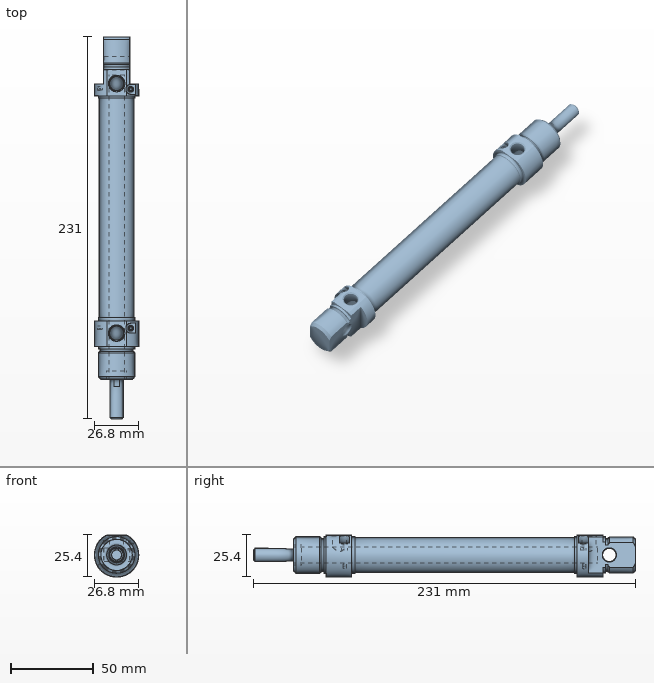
import cadquery as cq


total_length = 231.0
nose_front = 24.0
front_collar_front = 42.5
front_flange_front = 44.0
front_flange_back = 59.4
barrel_front = 61.5
barrel_back = 194.0
rear_flange_front = 195.5
rear_shoulder = 202.5
rear_flange_back = 211.4
rear_collar_back = 212.8

flange_radius = 26.8 / 2
nose_radius = 22.2 / 2
collar_radius = nose_radius
tail_radius = 22.0 / 2
end_chamfer = 1.6
relief_radius = 10.0
relief_length = 1.6
relief_chamfer_length = 1.0
relief_chamfer_depth = 0.7
port_pad_height = 12.0
tongue_thickness = 16.0
eye_diameter = 8.0
eye_mouth_diameter = 8.5
eye_y = 215.0

barrel_radius = 21.3 / 2

port_diameter = 8.5
port_mouth_diameter = 10.0
front_port_y = 52.0
rear_port_y = 202.8
screw_x = 8.5
screw_floor = 7.2
screw_slot_width = 6.0
screw_diameter = 3.5
screw_length = 4.2
screw_top_chamfer = 0.5
socket_diameter = 1.75
socket_depth = 1.2
front_screw_y = 55.0
rear_screw_y = 199.4

vent_diameter = 2.2
vent_depth = 2.3
vent_angle = 34.0
front_vent_y = 55.2
rear_vent_y = 199.8

rod_radius = 8.0 / 2
rod_chamfer = 1.05
rod_flat_height = 3.7
rod_flat_start = 19.6
inner_rod_radius = 9.5 / 2
inner_rod_back = 208.0
wiper_radius = 12.0 / 2
wiper_front = 24.3
wiper_back = 29.0


def cylinder_y(radius, start, end):
    """Round bar on the cylinder axis from Y = start to Y = end."""
    return cq.Workplane("XZ", origin=(0, start, 0)).circle(radius).extrude(start - end)


def revolve_profile(points):
    """Turn a closed profile of (radius, y) points about the cylinder axis."""
    return cq.Workplane("XY").polyline(points).close().revolve(360, (0, 0, 0), (0, 1, 0))


def cut_port_pad(cap):
    """Flatten the top of the flange for the port."""
    flat = cq.Workplane("XY").box(2 * flange_radius, total_length, flange_radius)
    flat_z = port_pad_height + flange_radius / 2
    return cap.cut(flat.translate((0, total_length / 2, flat_z)))


def chamfered_drill(diameter, mouth_diameter, height):
    """Upright drill standing on the origin, widened by a 45 degree chamfer at its top."""
    radius = diameter / 2
    mouth_radius = mouth_diameter / 2
    outline = [
        (0, 0),
        (radius, 0),
        (radius, height - (mouth_radius - radius)),
        (mouth_radius, height),
        (0, height),
    ]
    return cq.Workplane("XZ").polyline(outline).close().revolve(360, (0, 0, 0), (0, 1, 0))


def cut_port(cap, port_y):
    """Drill the air port from the flat pad down to the rod."""
    drill = chamfered_drill(port_diameter, port_mouth_diameter, port_pad_height)
    return cap.cut(drill.translate((0, port_y, 0)))


def cut_eye(cap):
    """Drill the hinge eye through the tongue, from both of its flat sides to the middle."""
    drill = chamfered_drill(eye_diameter, eye_mouth_diameter, tongue_thickness / 2)
    for angle in (-90, 90):
        cap = cap.cut(drill.rotate((0, 0, 0), (0, 1, 0), angle).translate((0, eye_y, 0)))
    return cap


def screw_body(screw_y):
    """Plain envelope of an adjusting screw, sunk below the slot floor."""
    floor = cq.Workplane("XY", origin=(screw_x, screw_y, screw_floor))
    return floor.circle(screw_diameter / 2).extrude(-screw_length)


def cut_screw_seat(cap, screw_y):
    """Mill the slot that opens to the +X side and drill the hole for the adjusting screw."""
    slot = (
        cq.Workplane("XY", origin=(screw_x, screw_y, screw_floor))
        .circle(screw_slot_width / 2)
        .extrude(flange_radius)
    )
    run_out = (
        cq.Workplane("XY", origin=(screw_x, screw_y, screw_floor))
        .box(flange_radius, screw_slot_width, flange_radius, (False, True, False))
    )
    return cap.cut(slot).cut(run_out).cut(screw_body(screw_y))


def cut_vent(cap, vent_y):
    """Drill a small radial blind hole into the -X side of the flange, below the axis."""
    drill = (
        cq.Workplane("YZ", origin=(-flange_radius, vent_y, 0))
        .circle(vent_diameter / 2)
        .extrude(vent_depth)
    )
    return cap.cut(drill.rotate((0, 0, 0), (0, 1, 0), -vent_angle))


def make_front_cap():
    """Front cap with the mounting nose, the wiper recess and the rod bore."""
    nose_back = front_collar_front - relief_length
    cap = revolve_profile([
        (0, nose_front),
        (nose_radius - end_chamfer, nose_front),
        (nose_radius, nose_front + end_chamfer),
        (nose_radius, nose_back - relief_chamfer_length),
        (nose_radius - relief_chamfer_depth, nose_back),
        (relief_radius, nose_back),
        (relief_radius, front_collar_front),
        (collar_radius, front_collar_front),
        (collar_radius, front_flange_front),
        (flange_radius, front_flange_front),
        (flange_radius, front_flange_back),
        (collar_radius, front_flange_back),
        (collar_radius, barrel_front),
        (0, barrel_front),
    ])
    cap = cut_port_pad(cap)
    cap = cut_port(cap, front_port_y)
    cap = cut_screw_seat(cap, front_screw_y)
    cap = cut_vent(cap, front_vent_y)
    cap = cap.cut(cylinder_y(wiper_radius, nose_front, wiper_back))
    return cap.cut(cylinder_y(inner_rod_radius, wiper_back, barrel_front))


def make_rear_cap():
    """Rear cap with the flat-sided hinge tongue and a blind bore for the rod end."""
    tail_front = rear_collar_back + relief_length
    cap = revolve_profile([
        (0, barrel_back),
        (collar_radius, barrel_back),
        (collar_radius, rear_flange_front),
        (flange_radius, rear_flange_front),
        (flange_radius, rear_flange_back),
        (collar_radius, rear_flange_back),
        (collar_radius, rear_collar_back),
        (relief_radius, rear_collar_back),
        (relief_radius, tail_front),
        (tail_radius - relief_chamfer_depth, tail_front),
        (tail_radius, tail_front + relief_chamfer_length),
        (tail_radius, total_length - end_chamfer),
        (tail_radius - end_chamfer, total_length),
        (0, total_length),
    ])
    tongue_length = total_length - rear_shoulder
    for side in (-1, 1):
        flat = cq.Workplane("XY").box(flange_radius, tongue_length, 2 * flange_radius)
        flat_x = side * (tongue_thickness + flange_radius) / 2
        cap = cap.cut(flat.translate((flat_x, rear_shoulder + tongue_length / 2, 0)))
    cap = cut_eye(cap)
    cap = cut_port_pad(cap)
    cap = cut_port(cap, rear_port_y)
    cap = cut_screw_seat(cap, rear_screw_y)
    cap = cut_vent(cap, rear_vent_y)
    return cap.cut(cylinder_y(inner_rod_radius, barrel_back, inner_rod_back))


def make_barrel():
    """Tube between the caps, bored to guide the rod."""
    bore = cylinder_y(inner_rod_radius, barrel_front, barrel_back)
    return cylinder_y(barrel_radius, barrel_front, barrel_back).cut(bore)


def make_piston_rod():
    """Stepped rod with two wrench flats just in front of the wiper."""
    rod = revolve_profile([
        (0, 0),
        (rod_radius - rod_chamfer, 0),
        (rod_radius, rod_chamfer),
        (rod_radius, wiper_front),
        (inner_rod_radius, wiper_front),
        (inner_rod_radius, inner_rod_back),
        (0, inner_rod_back),
    ])
    flat_length = wiper_front - rod_flat_start
    for side in (-1, 1):
        flat = cq.Workplane("XY").box(2 * rod_radius, flat_length, rod_radius)
        flat_z = side * (rod_flat_height + rod_radius / 2)
        rod = rod.cut(flat.translate((0, rod_flat_start + flat_length / 2, flat_z)))
    return rod


def make_wiper():
    """Ring that fills the nose recess around the rod."""
    ring = cylinder_y(wiper_radius, wiper_front, wiper_back)
    return ring.cut(cylinder_y(inner_rod_radius, wiper_front, wiper_back))


def make_adjusting_screw(screw_y):
    """Adjusting screw flush with the slot floor, with a round socket in its top."""
    screw = screw_body(screw_y).faces(">Z").chamfer(screw_top_chamfer)
    return screw.faces(">Z").workplane().hole(socket_diameter, socket_depth)


front_cap = make_front_cap()
rear_cap = make_rear_cap()
barrel = make_barrel()
piston_rod = make_piston_rod()
wiper = make_wiper()
adjusting_screws = [make_adjusting_screw(y).val() for y in (front_screw_y, rear_screw_y)]

result = cq.Compound.makeCompound([
    front_cap.val(),
    rear_cap.val(),
    barrel.val(),
    piston_rod.val(),
    wiper.val(),
    *adjusting_screws,
])